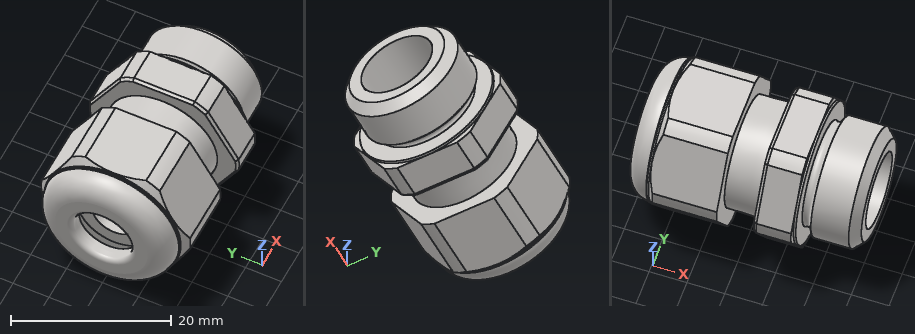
import cadquery as cq
import math

OVERALL_LENGTH = 30.5
ACROSS_FLATS = 19.0
ACROSS_CORNERS = 20.8

NUT_LENGTH = 12.63
DOME_DIAMETER = 18.7
DOME_FACE_DIAMETER = 12.72
DOME_LENGTH = 2.93
COLLAR_DIAMETER = 18.9
COLLAR_STEP = 0.12
BEVEL_START = 3.3
BEVEL_END = 4.1
MOUTH_DIAMETER = 9.6
MOUTH_ROUND_DEPTH = 0.55
LIP_DIAMETER = 8.2
LIP_WAIST_DIAMETER = 8.1
LIP_WAIST = 1.28
LIP_DEPTH = 2.07
FRONT_CLEARANCE = 0.3

SEAL_FRONT = 3.57
SEAL_REAR = NUT_LENGTH
SEAL_DIAMETER = 10.1
SEAL_BORE = 6.0

NECK_DIAMETER = 14.85
NECK_ROOT_DIAMETER = 15.15
HEX_FRONT = 17.45
HEX_REAR = 22.45
HEX_CHAMFER_LENGTH = 0.43
HEX_CHAMFER_INSET = 0.27
FLANGE_DIAMETER = 18.97
FLANGE_REAR_DIAMETER = 18.85
FLANGE_REAR = 22.75
GROOVE_DIAMETER = 13.7
GROOVE_ROUND = 0.73
GROOVE_ANGLE = 60.0
THREAD_DIAMETER = 16.0
THREAD_START = 24.25
THREAD_TIP_DIAMETER = 13.5


def revolve_about_x(profile):
    """Turn a closed (x, radius) profile about the X axis."""
    return profile.close().revolve(360, (0, 0, 0), (1, 0, 0))


def cylinder(diameter, start, end):
    """Cylinder about the X axis between two X positions."""
    return cq.Workplane("YZ", origin=(start, 0, 0)).circle(diameter / 2).extrude(end - start)


def hexagon(start, end):
    """Hexagonal prism about the X axis with its corners on +Y and -Y."""
    point_circle = ACROSS_FLATS / math.cos(math.pi / 6)
    prism = cq.Workplane("YZ", origin=(start, 0, 0)).polygon(6, point_circle).extrude(end - start)
    return prism.intersect(cylinder(ACROSS_CORNERS, start, end))


def make_nut():
    """Domed clamping nut with a bevelled hexagon, a rounded mouth and a stepped bore."""
    dome_radius = DOME_DIAMETER / 2
    face_radius = DOME_FACE_DIAMETER / 2
    collar_radius = COLLAR_DIAMETER / 2
    corner_radius = ACROSS_CORNERS / 2
    diagonal = math.sqrt(0.5)
    dome_middle = (
        DOME_LENGTH * (1 - diagonal),
        face_radius + (dome_radius - face_radius) * diagonal,
    )
    envelope = revolve_about_x(
        cq.Workplane("XY")
        .moveTo(0, 0)
        .lineTo(0, face_radius)
        .threePointArc(dome_middle, (DOME_LENGTH, dome_radius))
        .lineTo(DOME_LENGTH + COLLAR_STEP, collar_radius)
        .lineTo(BEVEL_START, collar_radius)
        .lineTo(BEVEL_END, corner_radius)
        .lineTo(NUT_LENGTH, corner_radius)
        .lineTo(NUT_LENGTH, 0)
    )
    nut = hexagon(0, NUT_LENGTH).intersect(envelope)

    lip_radius = LIP_DIAMETER / 2
    opening = revolve_about_x(
        cq.Workplane("XY")
        .moveTo(0, 0)
        .lineTo(-FRONT_CLEARANCE, 0)
        .lineTo(-FRONT_CLEARANCE, dome_radius)
        .lineTo(0, dome_radius)
        .lineTo(0, MOUTH_DIAMETER / 2)
        .tangentArcPoint((MOUTH_ROUND_DEPTH, lip_radius), relative=False)
        .lineTo(LIP_WAIST, LIP_WAIST_DIAMETER / 2)
        .lineTo(LIP_DEPTH, lip_radius)
        .lineTo(LIP_DEPTH, NECK_DIAMETER / 2)
        .lineTo(NUT_LENGTH, NECK_DIAMETER / 2)
        .lineTo(NUT_LENGTH, 0)
    )
    return nut.cut(opening)


def make_seal():
    """Tubular seal insert, flush with the front end of the gland body."""
    return cylinder(SEAL_DIAMETER, SEAL_FRONT, SEAL_REAR).cut(cylinder(SEAL_BORE, SEAL_FRONT, SEAL_REAR))


def make_body_neck():
    """Neck that reaches into the nut and flares slightly into the hexagon."""
    return revolve_about_x(
        cq.Workplane("XY")
        .moveTo(SEAL_FRONT, 0)
        .lineTo(SEAL_FRONT, NECK_DIAMETER / 2)
        .lineTo(NUT_LENGTH, NECK_DIAMETER / 2)
        .tangentArcPoint((HEX_FRONT, NECK_ROOT_DIAMETER / 2), relative=False)
        .lineTo(HEX_FRONT, 0)
    )


def make_body_hexagon():
    """Wrench hexagon with a chamfer that follows its front outline."""
    chamfer_taper = math.degrees(math.atan2(HEX_CHAMFER_INSET, HEX_CHAMFER_LENGTH))
    full_width = hexagon(HEX_FRONT + HEX_CHAMFER_LENGTH, HEX_REAR)
    front_outline = full_width.faces("<X").wires().toPending().workplane()
    return front_outline.extrude(HEX_CHAMFER_LENGTH, taper=chamfer_taper)


def make_body_thread_end():
    """Sealing flange, undercut groove and plain thread cylinder with its tip chamfer."""
    groove_radius = GROOVE_DIAMETER / 2
    thread_radius = THREAD_DIAMETER / 2
    tip_radius = THREAD_TIP_DIAMETER / 2
    tip_chamfer = thread_radius - tip_radius

    slope = math.radians(GROOVE_ANGLE)
    flank_foot_radius = groove_radius + GROOVE_ROUND * (1 - math.cos(slope))
    flank_foot_x = THREAD_START - (thread_radius - flank_foot_radius) / math.tan(slope)
    groove_bottom_x = flank_foot_x - GROOVE_ROUND * math.sin(slope)
    wall_distance = groove_bottom_x - FLANGE_REAR
    groove_wall_radius = groove_radius + GROOVE_ROUND - math.sqrt(GROOVE_ROUND**2 - wall_distance**2)
    return revolve_about_x(
        cq.Workplane("XY")
        .moveTo(HEX_REAR, 0)
        .lineTo(HEX_REAR, FLANGE_DIAMETER / 2)
        .lineTo(FLANGE_REAR, FLANGE_REAR_DIAMETER / 2)
        .lineTo(FLANGE_REAR, groove_wall_radius)
        .threePointArc((groove_bottom_x, groove_radius), (flank_foot_x, flank_foot_radius))
        .lineTo(THREAD_START, thread_radius)
        .lineTo(OVERALL_LENGTH - tip_chamfer, thread_radius)
        .lineTo(OVERALL_LENGTH, tip_radius)
        .lineTo(OVERALL_LENGTH, 0)
    )


def make_body():
    """Gland body with a straight through bore that holds the seal."""
    body = make_body_neck().union(make_body_hexagon()).union(make_body_thread_end())
    return body.cut(cylinder(SEAL_DIAMETER, SEAL_FRONT, OVERALL_LENGTH))


nut = make_nut()
seal = make_seal()
body = make_body()

result = cq.Compound.makeCompound([nut.val(), seal.val(), body.val()])